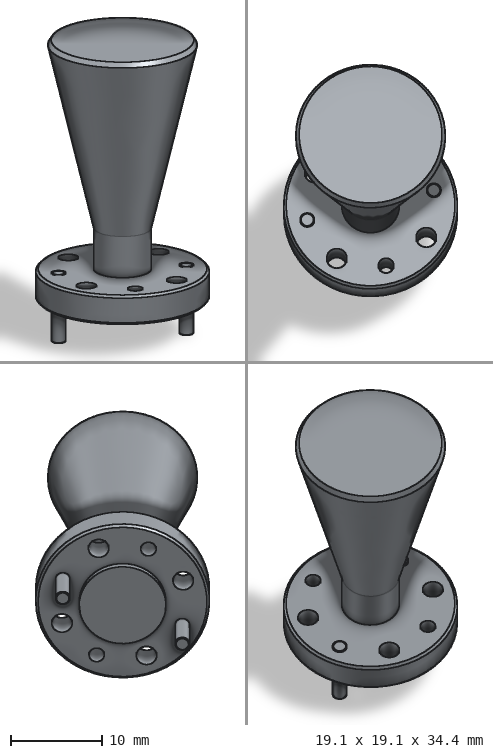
import cadquery as cq
import math

TOTAL_HEIGHT = 34.35
FLANGE_BOTTOM = 4.55
FLANGE_THICKNESS = 3.4
NECK_LENGTH = 4.77
BOSS_HEIGHT = 0.75
RIM_BEVEL_HEIGHT = 0.55

FLANGE_DIAMETER = 19.05
BOSS_DIAMETER = 9.5
NECK_DIAMETER = 6.35
HORN_DIAMETER = 16.42
HORN_TOP_DIAMETER = 15.65
FLANGE_CHAMFER = 0.27

HOLE_CIRCLE_DIAMETER = 14.3
SCREW_HOLE_DIAMETER = 2.23
ALIGNMENT_HOLE_DIAMETER = 1.7
PIN_DIAMETER = 1.58
PIN_CHAMFER = 0.1

FLANGE_TOP = FLANGE_BOTTOM + FLANGE_THICKNESS
NECK_TOP = FLANGE_TOP + NECK_LENGTH

SCREW_HOLE_ANGLES = [0, 90, 180, 270]
ALIGNMENT_HOLE_ANGLES = [135, 315]
PIN_ANGLES = [45, 225]


def circle_point(angle):
    """Point on the hole circle at an angle in degrees from +X."""
    radius = HOLE_CIRCLE_DIAMETER / 2
    turn = math.radians(angle)
    return (radius * math.cos(turn), radius * math.sin(turn))


def make_flange():
    """Chamfered disc with a low locating boss underneath."""
    disc = (
        cq.Workplane("XY")
        .workplane(offset=FLANGE_BOTTOM)
        .circle(FLANGE_DIAMETER / 2)
        .extrude(FLANGE_THICKNESS)
        .edges()
        .chamfer(FLANGE_CHAMFER)
    )
    boss = (
        cq.Workplane("XY")
        .workplane(offset=FLANGE_BOTTOM - BOSS_HEIGHT)
        .circle(BOSS_DIAMETER / 2)
        .extrude(BOSS_HEIGHT)
    )
    return disc.union(boss)


def make_neck_and_horn():
    """Straight neck opening into a cone with a bevelled rim."""
    return (
        cq.Workplane("XZ")
        .moveTo(0, FLANGE_TOP)
        .lineTo(NECK_DIAMETER / 2, FLANGE_TOP)
        .lineTo(NECK_DIAMETER / 2, NECK_TOP)
        .lineTo(HORN_DIAMETER / 2, TOTAL_HEIGHT - RIM_BEVEL_HEIGHT)
        .lineTo(HORN_TOP_DIAMETER / 2, TOTAL_HEIGHT)
        .lineTo(0, TOTAL_HEIGHT)
        .close()
        .revolve(360, (0, 0), (0, 1))
    )


def hole_cutters(diameter, angles):
    """Cylinders through the flange thickness, on the hole circle."""
    return (
        cq.Workplane("XY")
        .workplane(offset=FLANGE_BOTTOM)
        .pushPoints([circle_point(angle) for angle in angles])
        .circle(diameter / 2)
        .extrude(FLANGE_THICKNESS)
    )


def make_pin(angle):
    """Dowel pin, flush with the flange top and chamfered at both ends."""
    x, y = circle_point(angle)
    return (
        cq.Workplane("XY")
        .center(x, y)
        .circle(PIN_DIAMETER / 2)
        .extrude(FLANGE_TOP)
        .edges("%CIRCLE")
        .chamfer(PIN_CHAMFER)
    )


horn = make_flange().union(make_neck_and_horn())
horn = horn.cut(hole_cutters(SCREW_HOLE_DIAMETER, SCREW_HOLE_ANGLES))
horn = horn.cut(hole_cutters(ALIGNMENT_HOLE_DIAMETER, ALIGNMENT_HOLE_ANGLES))
horn = horn.cut(hole_cutters(PIN_DIAMETER, PIN_ANGLES))

pins = [make_pin(angle) for angle in PIN_ANGLES]

result = cq.Compound.makeCompound([horn.val(), *[pin.val() for pin in pins]])